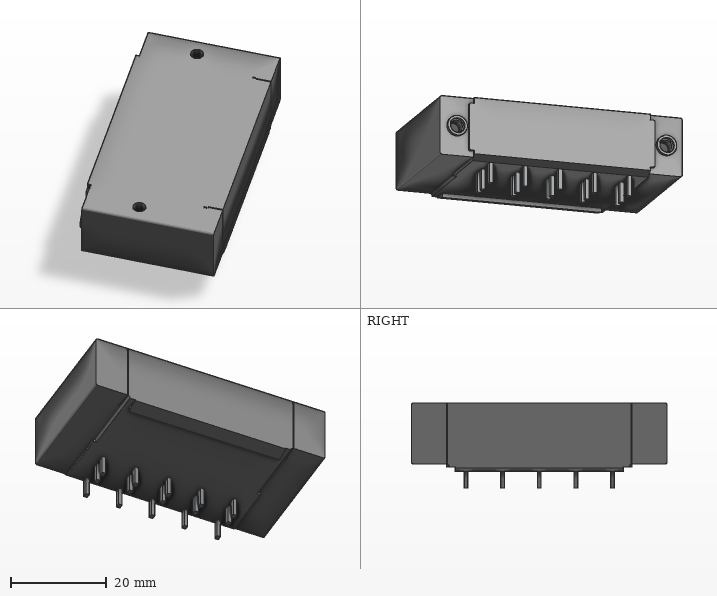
import cadquery as cq

LENGTH = 29.25
WIDTH = 53.35
HEIGHT = 17.75

BODY_WIDTH = 38.7
BODY_HEIGHT = 13.4
FRONT_CHAMFER = 1.2

WING_SETBACK = 0.75
WING_HEIGHT = 12.75
WING_EDGE_RADIUS = 0.5
WING_CENTRE_Y = (WIDTH + BODY_WIDTH) / 4

FLANGE_WIDTH = 40.85
FLANGE_TOP = 1.25
FLANGE_BOTTOM = 11.45
FLANGE_CORNER_RADIUS = 0.45

SOCKET_Y = 23.05
SOCKET_DEPTH_Z = 6.35
SOCKET_DIAMETER = 4.25
COUNTERBORE_DIAMETER = 3.2
COUNTERBORE_DEPTH = 0.75
BORE_DIAMETER = 2.55
BORE_DEPTH = 3.2
TOP_HOLE_X = 12.2
TOP_HOLE_DIAMETER = 2.65
TOP_HOLE_DEPTH = 2.65

SLIT_START_X = 26.1
SLIT_WIDTH = 0.2
NOTCH_X = 25.25
NOTCH_LENGTH = 0.55
NOTCH_WIDTH = 0.2

COVE_START_X = 13.45
COVE_RADIUS = BODY_HEIGHT - WING_HEIGHT

WEDGE_WIDTH = 35.05
WEDGE_START_X = 26.25
WEDGE_DROP = 0.9
WEDGE_REAR_DROP = 0.2

PIN_ROWS_X = (1.75, 6.85, 9.4)
PINS_PER_ROW = 5
PIN_PITCH = 7.65
PIN_LENGTH_X = 1.05
PIN_WIDTH_Y = 0.8


def block(x_start, x_end, y_centre, width, z_bottom, z_top):
    """Box between two X and two Z positions, centred on a Y position."""
    return (
        cq.Workplane("XY", origin=(x_start, y_centre, z_bottom))
        .box(x_end - x_start, width, z_top - z_bottom, centered=(False, True, False))
    )


def rod_along_x(diameter, y, x_start, x_end):
    """Cylinder along X at socket height."""
    return (
        cq.Workplane("YZ", origin=(x_start, y, -SOCKET_DEPTH_Z))
        .circle(diameter / 2)
        .extrude(x_end - x_start)
    )


def make_body():
    body = block(0, LENGTH, 0, BODY_WIDTH, -BODY_HEIGHT, 0)
    return body.faces("<X").edges("<Z").chamfer(FRONT_CHAMFER)


def make_wings():
    wings = block(WING_SETBACK, LENGTH, 0, WIDTH, -WING_HEIGHT, 0)
    return wings.edges("|X").fillet(WING_EDGE_RADIUS)


def make_flange():
    flange = block(0, WING_SETBACK, 0, FLANGE_WIDTH, -FLANGE_BOTTOM, -FLANGE_TOP)
    return flange.edges("|X").fillet(FLANGE_CORNER_RADIUS)


def make_wedge():
    """Rib that is deepest at its front edge and tapers toward the rear face."""
    return (
        cq.Workplane("XZ", origin=(0, WEDGE_WIDTH / 2, -BODY_HEIGHT))
        .moveTo(WEDGE_START_X, 0)
        .lineTo(WEDGE_START_X, -WEDGE_DROP)
        .lineTo(LENGTH, -WEDGE_REAR_DROP)
        .lineTo(LENGTH, 0)
        .close()
        .extrude(WEDGE_WIDTH)
    )


def make_cove(side):
    """Quarter-round cutter that hollows the body side below one wing."""
    side_y = side * BODY_WIDTH / 2
    strip = block(COVE_START_X, LENGTH, side_y, 2 * COVE_RADIUS, -BODY_HEIGHT, -WING_HEIGHT)
    rod = (
        cq.Workplane("YZ", origin=(COVE_START_X, side_y, -BODY_HEIGHT))
        .circle(COVE_RADIUS)
        .extrude(LENGTH - COVE_START_X)
    )
    return strip.intersect(rod)


def make_slit(side):
    """Thin gap just inside the seam, with a short notch cut just outside it, both as deep as the wing."""
    seam_y = side * BODY_WIDTH / 2
    slit_y = seam_y - side * SLIT_WIDTH / 2
    notch_y = seam_y + side * NOTCH_WIDTH / 2
    slit = block(SLIT_START_X, LENGTH, slit_y, SLIT_WIDTH, -WING_HEIGHT, 0)
    notch = block(NOTCH_X, NOTCH_X + NOTCH_LENGTH, notch_y, NOTCH_WIDTH, -WING_HEIGHT, 0)
    return slit.union(notch)


def make_pins():
    pins = cq.Workplane("XY")
    for x in PIN_ROWS_X:
        for index in range(PINS_PER_ROW):
            y = (index - (PINS_PER_ROW - 1) / 2) * PIN_PITCH
            x_start = x - PIN_LENGTH_X / 2
            pin = block(x_start, x_start + PIN_LENGTH_X, y, PIN_WIDTH_Y, -HEIGHT, -WING_HEIGHT)
            pins = pins.add(pin)
    return pins.combine()


def make_wing_holes(side):
    """Stepped bore in the front socket and a blind hole in the top of one wing."""
    socket_y = side * SOCKET_Y
    counterbore = rod_along_x(COUNTERBORE_DIAMETER, socket_y, 0, COUNTERBORE_DEPTH)
    bore = rod_along_x(BORE_DIAMETER, socket_y, 0, BORE_DEPTH)
    top_hole = (
        cq.Workplane("XY", origin=(TOP_HOLE_X, side * WING_CENTRE_Y, 0))
        .circle(TOP_HOLE_DIAMETER / 2)
        .extrude(-TOP_HOLE_DEPTH)
    )
    return counterbore.union(bore).union(top_hole)


result = make_body().union(make_wings()).union(make_flange()).union(make_wedge()).union(make_pins())

for side in (-1, 1):
    socket = rod_along_x(SOCKET_DIAMETER, side * SOCKET_Y, 0, WING_SETBACK)
    result = result.union(socket)
    result = result.cut(make_wing_holes(side))
    result = result.cut(make_cove(side))
    result = result.cut(make_slit(side))